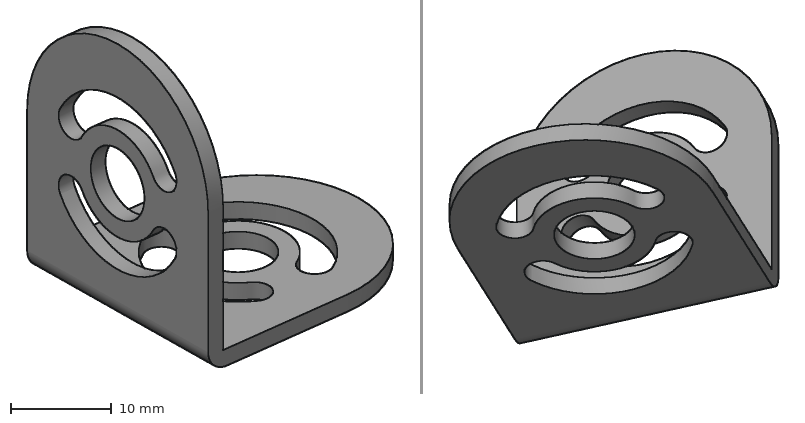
import cadquery as cq

leg_length = 32.0
width = 27.0
thickness = 2.0
bend_radius = 2.5
bore_diameter = 8.0
slot_path_radius = 8.0
slot_width = 3.7
slot_end_angle = 30.0

end_radius = width / 2
bore_height = leg_length / 2


def arc_slot(start_angle):
    """Curved round-ended slot about the origin, as a solid of plate thickness."""
    sweep = 180 - 2 * slot_end_angle
    band = (
        cq.Workplane("XZ")
        .center(slot_path_radius, thickness / 2)
        .rect(slot_width, thickness)
        .revolve(sweep, (-slot_path_radius, 0), (-slot_path_radius, 1))
        .rotate((0, 0, 0), (0, 0, 1), start_angle)
    )
    ends = (
        cq.Workplane("XY")
        .polarArray(slot_path_radius, start_angle, sweep, 2)
        .circle(slot_width / 2)
        .extrude(thickness)
    )
    return band.union(ends)


def flat_leg():
    """Round-ended plate lying on XY with its bend edge along X."""
    straight_length = leg_length - end_radius
    plate = (
        cq.Workplane("XY")
        .moveTo(-end_radius, 0)
        .lineTo(end_radius, 0)
        .lineTo(end_radius, straight_length)
        .threePointArc((0, leg_length), (-end_radius, straight_length))
        .close()
        .extrude(thickness)
    )
    bore = cq.Workplane("XY").circle(bore_diameter / 2).extrude(thickness)
    openings = bore
    for start_angle in (slot_end_angle, 180 + slot_end_angle):
        openings = openings.union(arc_slot(start_angle))
    return plate.cut(openings.translate((0, bore_height, 0)))


base = flat_leg()
upright = base.rotate((0, 0, 0), (1, 0, 0), 90).translate((0, thickness, 0))
bracket = base.union(upright)

result = bracket.faces("<Y").edges("<Z").fillet(bend_radius)